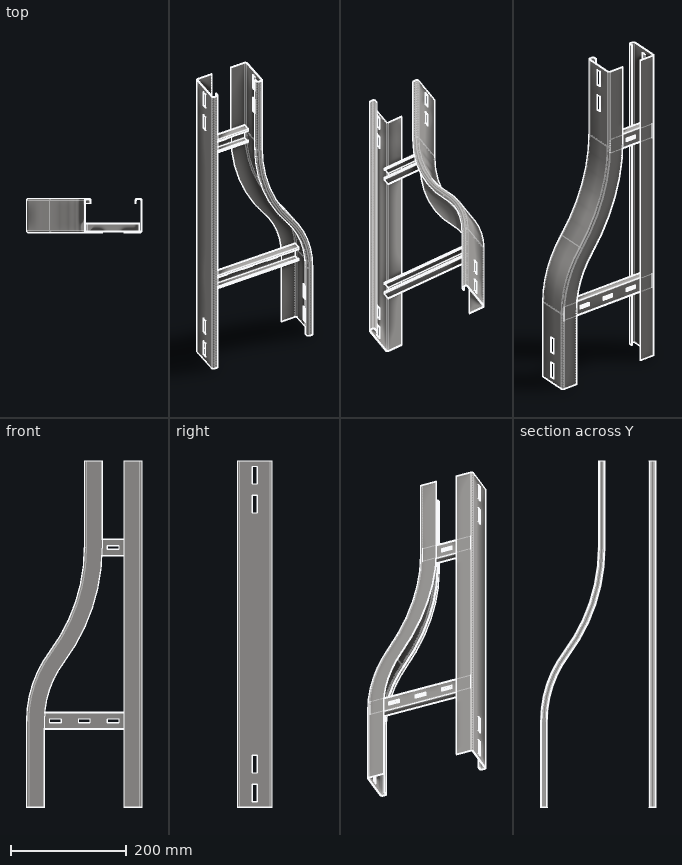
import cadquery as cq
import math

length = 600.0
width = length / 3
depth = 60.0
front = -depth / 2
back = depth / 2

rail_sheet = 2.0
rail_bend = 4.0
rail_inner_bend = rail_bend - rail_sheet
flange_width = 31.0
lip_width = 12.0
lip_depth = 9.0

straight_end = length / 4
bend_rise = length - 2 * straight_end
side_offset = width / 2
upper_bend_radius = 300.0
bend_angle = 2 * math.atan(side_offset / bend_rise)
lower_bend_radius = bend_rise / math.sin(bend_angle) - upper_bend_radius

rail_slot_length = 30.0
rail_slot_width = 8.5
rail_slot_pitch = length / 12
rail_slot_margin = rail_slot_pitch / 2
lower_slot_heights = [rail_slot_margin, rail_slot_margin + rail_slot_pitch]
upper_slot_heights = [length - height for height in lower_slot_heights]

rung_sheet = 1.5
rung_bend = rung_sheet
rung_height = 30.0
rung_depth = 15.0
rung_lip = 5.0
rung_end_gap = 5.0
rung_slot_length = 20.0
rung_slot_width = 6.0
rung_slot_pitch = width / 4


def rail_profile():
    """Rail section: wide front flange, web along Y with its outer face at X = 0, hooked back lip."""
    return (
        cq.Workplane("XY")
        .moveTo(flange_width, front)
        .lineTo(rail_bend, front)
        .radiusArc((0, front + rail_bend), rail_bend)
        .lineTo(0, back - rail_bend)
        .radiusArc((rail_bend, back), rail_bend)
        .lineTo(lip_width - rail_bend, back)
        .radiusArc((lip_width, back - rail_bend), rail_bend)
        .lineTo(lip_width, back - lip_depth)
        .lineTo(lip_width - rail_sheet, back - lip_depth)
        .lineTo(lip_width - rail_sheet, back - rail_bend)
        .radiusArc((lip_width - rail_bend, back - rail_sheet), -rail_inner_bend)
        .lineTo(rail_bend, back - rail_sheet)
        .radiusArc((rail_sheet, back - rail_bend), -rail_inner_bend)
        .lineTo(rail_sheet, front + rail_bend)
        .radiusArc((rail_bend, front + rail_sheet), -rail_inner_bend)
        .lineTo(flange_width, front + rail_sheet)
        .close()
    )


def rail_slot_cutters(web_x, heights):
    """Blocks through a web whose outer face is at web_x, one at each height."""
    return (
        cq.Workplane("YZ", origin=(web_x + rail_sheet / 2, 0, 0))
        .pushPoints([(0, height) for height in heights])
        .rect(rail_slot_width, rail_slot_length)
        .extrude(rail_sheet, both=True)
    )


def make_offset_rail():
    """Left rail: two straight ends joined by two opposite tangent bends."""
    inflection_x = lower_bend_radius * (1 - math.cos(bend_angle))
    inflection_z = straight_end + lower_bend_radius * math.sin(bend_angle)
    path = (
        cq.Workplane("XZ")
        .lineTo(0, straight_end)
        .tangentArcPoint((inflection_x, inflection_z), relative=False)
        .tangentArcPoint((side_offset, length - straight_end), relative=False)
        .lineTo(side_offset, length)
    )
    rail = rail_profile().sweep(path)
    rail = rail.cut(rail_slot_cutters(0, lower_slot_heights))
    return rail.cut(rail_slot_cutters(side_offset, upper_slot_heights))


def make_straight_rail():
    """Right rail: the same section, turned to face the left rail."""
    rail = rail_profile().extrude(length)
    rail = rail.cut(rail_slot_cutters(0, lower_slot_heights + upper_slot_heights))
    return rail.mirror("YZ").translate((width, 0, 0))


def make_rung(left_web_x, center_z, slot_count):
    """Rung from the left rail web to the right one, with slots counted from its right end."""
    start_x = left_web_x + rung_end_gap
    end_x = width - rung_end_gap
    span = end_x - start_x
    base_y = front + rail_sheet
    center = ((start_x + end_x) / 2, base_y + rung_depth / 2, center_z)

    shell = cq.Workplane("XY").box(span, rung_depth, rung_height).edges("|X").fillet(rung_bend)
    cavity = cq.Workplane("XY").box(span, rung_depth - 2 * rung_sheet, rung_height - 2 * rung_sheet)
    mouth = (
        cq.Workplane("XY")
        .box(span, rung_depth, rung_height - 2 * rung_lip)
        .translate((0, rung_sheet, 0))
    )
    rung = shell.cut(cavity).cut(mouth).translate(center)

    slot_centers = [(width - (i + 1) * rung_slot_pitch, 0) for i in range(slot_count)]
    slots = (
        cq.Workplane("XZ", origin=(0, base_y + rung_sheet / 2, center_z))
        .pushPoints(slot_centers)
        .rect(rung_slot_length, rung_slot_width)
        .extrude(rung_sheet, both=True)
    )
    return rung.cut(slots)


offset_rail = make_offset_rail()
straight_rail = make_straight_rail()

rung_layout = [
    (0, straight_end, 3),
    (side_offset, length - straight_end, 1),
]
rungs = [make_rung(*layout) for layout in rung_layout]

bodies = [offset_rail, straight_rail, *rungs]
result = cq.Compound.makeCompound([body.solids().val() for body in bodies])